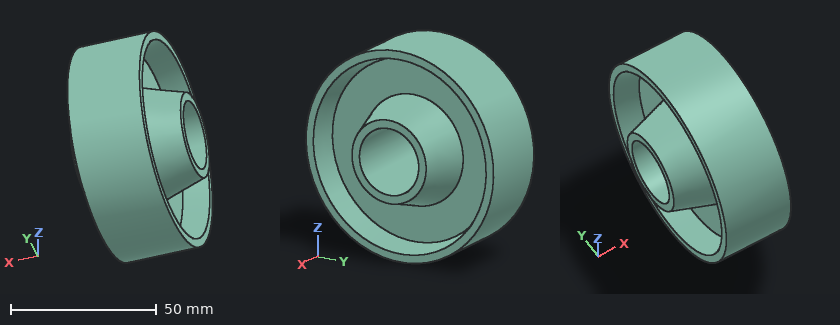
import cadquery as cq

outer_diameter = 76.0
rim_width = 26.2
rim_mouth_diameter = 70.0
rim_root_diameter = 66.0
hub_length = 40.0
hub_end_diameter = 30.0
hub_root_diameter = 40.0
bore_diameter = 24.0
web_thickness = 8.0

half_rim = rim_width / 2
half_hub = hub_length / 2
half_web = web_thickness / 2

right_side = [
    (half_hub, bore_diameter / 2),
    (half_hub, hub_end_diameter / 2),
    (half_web, hub_root_diameter / 2),
    (half_web, rim_root_diameter / 2),
    (half_rim, rim_mouth_diameter / 2),
    (half_rim, outer_diameter / 2),
]

left_side = [(-axial, radius) for axial, radius in reversed(right_side)]

result = (
    cq.Workplane("XZ")
    .polyline(right_side + left_side)
    .close()
    .revolve(360, (0, 0, 0), (1, 0, 0))
)